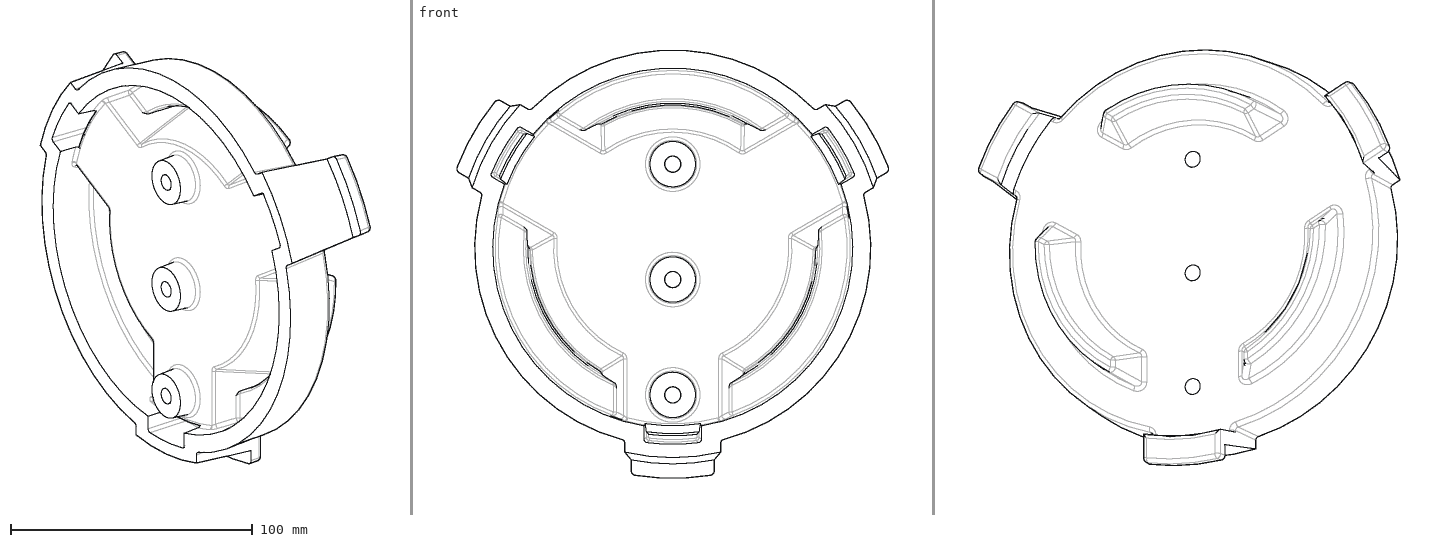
import cadquery as cq
import math


RIM_RADIUS = 82.0
RIM_DRAFT = math.tan(math.radians(3))
RIM_WALL = 7.5
RIM_DEPTH = 22.5
RIM_BACK_ROUND = 2.0

FLOOR_DEPTH = 9.0
LEDGE_DEPTH = 19.5
LOBE_HALF_WIDTH = 20.0
PLATEAU_REACH = 90.0
INNER_ROUND = 1.4

WELL_TAPER = 18.4
WELL_DEPTH = 37.0
WELL_INNER_RADIUS = 49.0
WELL_OUTER_RADIUS = 60.9
WELL_LIP_ROUND = 1.0
WELL_FLOOR_ROUND = 0.8

BACK_DEPTH = 40.01
BACK_TAPER = 22.5
BACK_INNER_RADIUS = 57.7
BACK_OUTER_RADIUS = 63.5
BACK_HALF_GAP = 28.7
BACK_OVERLAP = 2.0
BACK_ROUND = 2.0

TAB_HALF_WIDTH = 19.9
TAB_TIP_HALF_WIDTH = 16.7
TAB_DEPTH = 37.5
TAB_LIP_DEPTH = 31.2
TAB_ROOT_RADIUS = 70.0
TAB_FOOT_RADIUS = 86.7
TAB_NECK_RADIUS = 89.3
TAB_TIP_RADIUS = 95.32
TAB_INNER_RADIUS = 82.8
TAB_INNER_BACK_RADIUS = 83.7
TAB_CORNER_ROUND = 2.0
TAB_SIDE_ROUND = 1.5
TAB_BACK_ROUND = 1.8

SLOT_HALF_WIDTH = 11.9
SLOT_FLOOR_HALF_WIDTH = 10.9
SLOT_INNER_RADIUS = 73.5
SLOT_OUTER_RADIUS = 81.2
SLOT_FLOOR_ROUND = 1.0

BOSS_COUNT = 3
BOSS_PITCH = 47.75
BOSS_CENTER_Z = -13.0
BOSS_RADIUS = 9.4
BOSS_BASE_RADIUS = 9.9
BOSS_FOOT_ROUND = 1.4
HOLE_RADIUS = 3.3

LOBE_ANGLES = (30, 150, 270)
WELL_ANGLES = (90, 210, 330)
BAR_START = 60.0
FAR = 150.0


def revolve(profile):
    """Revolve a closed (radius, depth) profile about the Y axis."""
    return cq.Workplane("XY").polyline(profile).close().revolve(360, (0, 0, 0), (0, 1, 0))


def turned(shape, angle):
    """Turn a feature lying along +X to the given angle, from +X towards +Z."""
    return shape.rotate((0, 0, 0), (0, 1, 0), -angle)


def tapered(outline, depth, taper):
    """Extrude a symmetric (x, z) outline from Y = 0, its sides leaning inwards by `taper` degrees."""
    front = cq.Plane(origin=(0, 0, 0), xDir=(1, 0, 0), normal=(0, 1, 0))
    return cq.Workplane(front).polyline(outline).close().extrude(depth, taper=taper)


def wedge(half_gap, depth, taper):
    """Space between two lobes, along +X, its sides `half_gap` from the lobe axes at `depth`."""
    half_gap_in_front = half_gap - depth * math.tan(math.radians(taper))
    apex = half_gap_in_front / math.sin(math.radians(60))
    reach = FAR * math.tan(math.radians(60))
    return tapered([(apex, 0), (apex + FAR, reach), (apex + FAR, -reach)], BACK_DEPTH + 1, taper)


def bar(half_width, depth, tip_half_width):
    """Radial bar along +X that narrows from the front to `depth`."""
    taper = math.degrees(math.atan((half_width - tip_half_width) / depth))
    outline = [(BAR_START, half_width), (FAR, half_width), (FAR, -half_width), (BAR_START, -half_width)]
    return tapered(outline, depth, taper)


def edge_radius(edge):
    """Distance of an edge's midpoint from the Y axis."""
    middle = edge.positionAt(0.5)
    return math.hypot(middle.x, middle.z)


def depth_range(edge):
    box = edge.BoundingBox()
    return box.ymin, box.ymax


def near(value, target):
    return abs(value - target) < 0.05


def spans(edge, first, last):
    """True for an edge that runs from one depth to another."""
    low, high = depth_range(edge)
    return near(low, first) and near(high, last)


def at_depth(edge, depth):
    """True for an edge that lies flat at one depth."""
    return spans(edge, depth, depth)


def rounded(body, radius, is_wanted):
    return body.edges().filter(is_wanted).fillet(radius)


def rim_inner(depth):
    return RIM_RADIUS - RIM_WALL - depth * RIM_DRAFT


def rim_outer(depth):
    return RIM_RADIUS - depth * RIM_DRAFT


def slope_radius(depth):
    """Radius of the sloping inner flank of a well."""
    return WELL_INNER_RADIUS + (depth - FLOOR_DEPTH) * math.tan(math.radians(WELL_TAPER))


def tab():
    ring = revolve([
        (TAB_ROOT_RADIUS, 0),
        (TAB_FOOT_RADIUS, 0),
        (TAB_NECK_RADIUS, TAB_LIP_DEPTH),
        (TAB_TIP_RADIUS, TAB_LIP_DEPTH),
        (TAB_TIP_RADIUS, TAB_DEPTH),
        (TAB_ROOT_RADIUS, TAB_DEPTH),
    ])
    hook = ring.intersect(bar(TAB_HALF_WIDTH, TAB_DEPTH, TAB_TIP_HALF_WIDTH))

    def is_tip_corner(edge):
        return spans(edge, TAB_LIP_DEPTH, TAB_DEPTH) and edge_radius(edge) > TAB_NECK_RADIUS

    return rounded(hook, TAB_CORNER_ROUND, is_tip_corner)


def rim_with_tabs():
    """Solid rim disc with its tabs, cleared behind the rim so that the tabs stand free."""
    body = revolve([(0, 0), (RIM_RADIUS, 0), (rim_outer(TAB_DEPTH), TAB_DEPTH), (0, TAB_DEPTH)])
    for angle in LOBE_ANGLES:
        body = body.union(turned(tab(), angle))

    def is_tab_side(edge):
        return spans(edge, 0, TAB_DEPTH) and rim_outer(TAB_DEPTH) - 2 < edge_radius(edge) < TAB_FOOT_RADIUS

    def is_rim_back(edge):
        return at_depth(edge, RIM_DEPTH) and edge.geomType() == "CIRCLE" and edge.Length() > RIM_DEPTH * 2.5

    body = rounded(body, TAB_SIDE_ROUND, is_tab_side)
    lean = (TAB_INNER_BACK_RADIUS - TAB_INNER_RADIUS) / (TAB_DEPTH - RIM_DEPTH)
    body = body.cut(revolve([
        (0, RIM_DEPTH),
        (TAB_INNER_RADIUS, RIM_DEPTH),
        (TAB_INNER_BACK_RADIUS + lean, TAB_DEPTH + 1),
        (0, TAB_DEPTH + 1),
    ]))
    body = rounded(body, RIM_BACK_ROUND, is_rim_back)
    return rounded(body, TAB_BACK_ROUND, lambda edge: at_depth(edge, TAB_DEPTH))


def well_back():
    """Raised back of one well, closing it behind the rim."""
    base = RIM_DEPTH - BACK_OVERLAP
    rise = BACK_DEPTH - base
    ring = revolve([
        (BACK_INNER_RADIUS - rise * math.tan(math.radians(BACK_TAPER)), base),
        (BACK_INNER_RADIUS, BACK_DEPTH),
        (BACK_OUTER_RADIUS, BACK_DEPTH),
        (BACK_OUTER_RADIUS + rise * RIM_DRAFT, base),
    ])
    back = ring.intersect(wedge(BACK_HALF_GAP, BACK_DEPTH, BACK_TAPER))
    return rounded(
        back, BACK_ROUND, lambda edge: spans(edge, base, BACK_DEPTH) or at_depth(edge, BACK_DEPTH)
    )


def add_well_backs(body):
    for angle in WELL_ANGLES:
        body = body.union(turned(well_back(), angle))

    def is_back_foot(edge):
        return at_depth(edge, RIM_DEPTH) and edge_radius(edge) < rim_inner(0)

    return rounded(body, BACK_ROUND, is_back_foot)


def well_sector():
    """Space outside the sloping flank of one well, between the two lobes beside it."""
    top = FLOOR_DEPTH - 1
    bottom = BACK_DEPTH + 0.5
    outside = revolve([(slope_radius(top), top), (slope_radius(bottom), bottom), (FAR, bottom), (FAR, top)])
    return outside.intersect(wedge(LOBE_HALF_WIDTH, FLOOR_DEPTH, WELL_TAPER))


def plateau():
    """Three-lobed raised floor, carried out past the rim wall, with its upper edges rounded."""
    disc = revolve([
        (0, FLOOR_DEPTH),
        (PLATEAU_REACH, FLOOR_DEPTH),
        (PLATEAU_REACH, BACK_DEPTH),
        (0, BACK_DEPTH),
    ])
    for angle in WELL_ANGLES:
        disc = disc.cut(turned(well_sector(), angle))

    def is_lobe_corner(edge):
        return spans(edge, FLOOR_DEPTH, BACK_DEPTH) and edge_radius(edge) < RIM_RADIUS

    def is_lobe_edge(edge):
        return at_depth(edge, FLOOR_DEPTH) and edge_radius(edge) < RIM_RADIUS

    disc = rounded(disc, INNER_ROUND, is_lobe_corner)
    return rounded(disc, INNER_ROUND, is_lobe_edge)


def cavity():
    """Everything hollow: the bowl with its ledge and wells, less the three-lobed plateau."""
    hollow = revolve([
        (0, 0),
        (rim_inner(0), 0),
        (rim_inner(LEDGE_DEPTH), LEDGE_DEPTH),
        (WELL_OUTER_RADIUS, LEDGE_DEPTH),
        (WELL_OUTER_RADIUS - (WELL_DEPTH - LEDGE_DEPTH) * RIM_DRAFT, WELL_DEPTH),
        (0, WELL_DEPTH),
    ]).cut(plateau())

    def is_foot(edge):
        lobe_foot = at_depth(edge, LEDGE_DEPTH) and edge.geomType() == "LINE"
        at_rim = near(edge_radius(edge), rim_inner(depth_range(edge)[0]))
        return lobe_foot or (edge.geomType() == "CIRCLE" and at_rim and depth_range(edge)[0] > 1)

    def is_well_lip(edge):
        return at_depth(edge, LEDGE_DEPTH) and near(edge_radius(edge), WELL_OUTER_RADIUS)

    hollow = rounded(hollow, INNER_ROUND, is_foot)
    hollow = rounded(hollow, WELL_LIP_ROUND, is_well_lip)
    return rounded(hollow, WELL_FLOOR_ROUND, lambda edge: at_depth(edge, WELL_DEPTH))


def slot():
    """Pocket in the foot of one tab, open to the bowl, with a sloping inner flank."""
    inner_slope = (LEDGE_DEPTH - FLOOR_DEPTH) * math.tan(math.radians(WELL_TAPER))
    ring = revolve([
        (SLOT_INNER_RADIUS, 0),
        (SLOT_INNER_RADIUS, FLOOR_DEPTH),
        (SLOT_INNER_RADIUS + inner_slope, LEDGE_DEPTH),
        (SLOT_OUTER_RADIUS - LEDGE_DEPTH * RIM_DRAFT, LEDGE_DEPTH),
        (SLOT_OUTER_RADIUS, 0),
    ])
    pocket = ring.intersect(bar(SLOT_HALF_WIDTH, LEDGE_DEPTH, SLOT_FLOOR_HALF_WIDTH))

    def is_outer_corner(edge):
        return spans(edge, 0, LEDGE_DEPTH) and edge_radius(edge) > SLOT_INNER_RADIUS + inner_slope

    pocket = rounded(pocket, INNER_ROUND, is_outer_corner)
    return rounded(pocket, SLOT_FLOOR_ROUND, lambda edge: at_depth(edge, LEDGE_DEPTH))


def boss():
    """Tapered boss flush with the front face, flaring where it meets the floor."""
    foot_start = FLOOR_DEPTH - BOSS_FOOT_ROUND
    bend = BOSS_FOOT_ROUND * (1 - math.sqrt(0.5))
    return (
        cq.Workplane("XY")
        .moveTo(0, 0)
        .lineTo(BOSS_RADIUS, 0)
        .lineTo(BOSS_BASE_RADIUS, foot_start)
        .threePointArc(
            (BOSS_BASE_RADIUS + bend, FLOOR_DEPTH - bend),
            (BOSS_BASE_RADIUS + BOSS_FOOT_ROUND, FLOOR_DEPTH),
        )
        .lineTo(BOSS_BASE_RADIUS + BOSS_FOOT_ROUND, FLOOR_DEPTH + 1)
        .lineTo(0, FLOOR_DEPTH + 1)
        .close()
        .revolve(360, (0, 0, 0), (0, 1, 0))
    )


def add_bosses(body):
    hole = revolve([(0, -1), (HOLE_RADIUS, -1), (HOLE_RADIUS, BACK_DEPTH), (0, BACK_DEPTH)])
    for index in range(BOSS_COUNT):
        z = BOSS_CENTER_Z + (index - (BOSS_COUNT - 1) / 2) * BOSS_PITCH
        body = body.union(boss().translate((0, 0, z)))
        body = body.cut(hole.translate((0, 0, z)))
    return body


part = add_well_backs(rim_with_tabs())
part = part.cut(cavity())
for lobe_angle in LOBE_ANGLES:
    part = part.cut(turned(slot(), lobe_angle))
result = add_bosses(part)